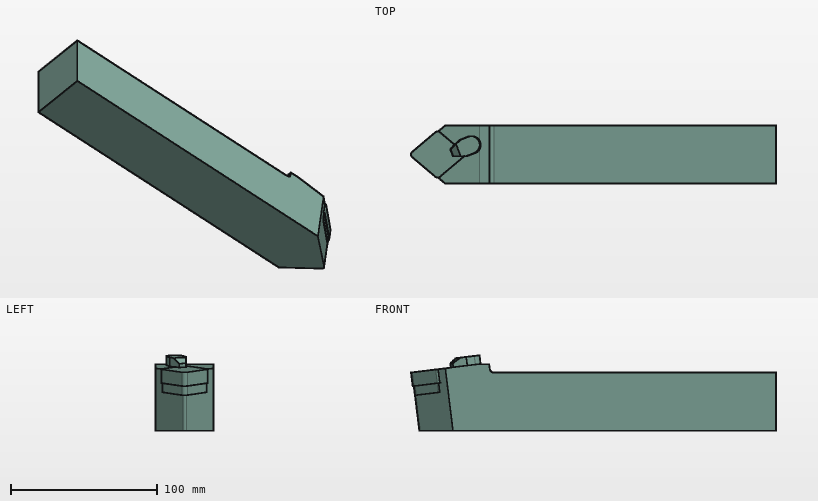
import math

import cadquery as cq

total_length = 250.0
shank_size = 40.0

tip_height = 40.0
tilt = 7.0

flat_start = 46.8
flat_end = 53.6
step_wall_run = 0.6
step_fillet_end = 56.7
step_fillet_rise = 2.0

point_angle = 80.0
insert_inscribed_diameter = 25.4
insert_thickness = 9.52
corner_radius = 2.4
shim_thickness = 6.35
shim_inset = 0.5

head_setback = 0.8

clamp_center_x = 42.15
clamp_center_y = 6.6
clamp_angle = 21.0
clamp_width = 12.0
clamp_height = 6.0
clamp_straight = 5.8
clamp_nose_reach = 14.8
clamp_nose_width = 5.0
clamp_nose_height = 2.7
clamp_slope_start = 9.4

half_point = math.radians(point_angle / 2)
sharp_tip_x = corner_radius - corner_radius / math.sin(half_point)
insert_half_length = insert_inscribed_diameter / 2 / math.sin(half_point)
insert_center_x = sharp_tip_x + insert_half_length

seat = cq.Plane(
    origin=(0, 0, tip_height),
    xDir=(math.cos(math.radians(tilt)), 0, math.sin(math.radians(tilt))),
    normal=(-math.sin(math.radians(tilt)), 0, math.cos(math.radians(tilt))),
)


def rhombic_plate(inset, top, thickness):
    """Rounded rhombus centred on the insert, its sides moved in by inset, its top at local height top."""
    half_length = insert_half_length - inset / math.sin(half_point)
    half_width = half_length * math.tan(half_point)
    return (
        cq.Workplane(seat)
        .workplane(offset=top)
        .center(insert_center_x, 0)
        .polyline([(-half_length, 0), (0, -half_width), (half_length, 0), (0, half_width)])
        .close()
        .extrude(-thickness)
        .edges(cq.selectors.ParallelDirSelector(seat.zDir))
        .fillet(corner_radius)
    )


def shank_and_head_block():
    """Side profile of the holder, extruded across the full width."""
    slope = math.tan(math.radians(tilt))
    head_top = tip_height + flat_start * slope
    wall_foot_x = flat_end + step_wall_run
    return (
        cq.Workplane("XZ")
        .moveTo(0, 0)
        .lineTo(total_length, 0)
        .lineTo(total_length, shank_size)
        .lineTo(step_fillet_end, shank_size)
        .tangentArcPoint((wall_foot_x, shank_size + step_fillet_rise), relative=False)
        .lineTo(flat_end, head_top)
        .lineTo(flat_start, head_top)
        .lineTo(0, tip_height)
        .close()
        .extrude(shank_size / 2, both=True)
    )


def head_outline_prism():
    """Pointed outline with a rounded nose, normal to the seat face, long enough to hold the shank."""
    apex_x = sharp_tip_x + head_setback / math.sin(half_point)
    half_width = (total_length - apex_x) * math.tan(half_point)
    return (
        cq.Workplane(seat)
        .polyline([(apex_x, 0), (total_length, -half_width), (total_length, half_width)])
        .close()
        .extrude(total_length, both=True)
        .edges(cq.selectors.ParallelDirSelector(seat.zDir))
        .edges("<X")
        .fillet(corner_radius - head_setback)
    )


def clamp():
    """Round-ended clamp, tapering to a narrow nose that slopes down to the insert."""
    half_width = clamp_width / 2
    nose_half_width = clamp_nose_width / 2
    outline = (
        cq.Workplane("XY")
        .moveTo(-clamp_nose_reach, -nose_half_width)
        .lineTo(-clamp_straight, -half_width)
        .lineTo(0, -half_width)
        .threePointArc((half_width, 0), (0, half_width))
        .lineTo(-clamp_straight, half_width)
        .lineTo(-clamp_nose_reach, nose_half_width)
        .close()
        .extrude(clamp_height)
    )
    nose_slope = (
        cq.Workplane("XZ")
        .moveTo(-clamp_nose_reach, clamp_nose_height)
        .lineTo(-clamp_slope_start, clamp_height)
        .lineTo(-clamp_nose_reach, clamp_height)
        .close()
        .extrude(clamp_width, both=True)
    )
    turned = (
        outline.cut(nose_slope)
        .rotate((0, 0, 0), (0, 0, 1), clamp_angle)
        .translate((clamp_center_x, clamp_center_y, 0))
    )
    return cq.Workplane(turned.val().moved(cq.Location(seat)))


insert = rhombic_plate(0, 0, insert_thickness)
shim = rhombic_plate(shim_inset, -insert_thickness, shim_thickness)

holder = (
    shank_and_head_block()
    .intersect(head_outline_prism())
    .union(shim)
    .union(clamp())
    .cut(insert)
)

result = cq.Compound.makeCompound([holder.val(), insert.val()])